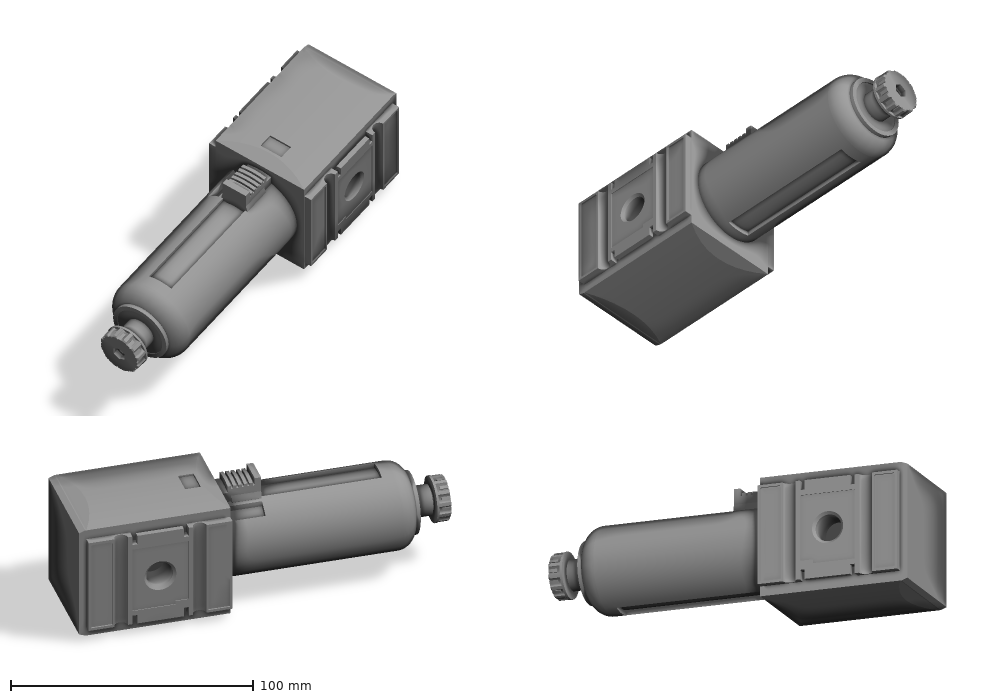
import cadquery as cq
import math


block_half_width = 45.1 / 2
block_half_height = 25.6
dome_half_height = 27.0
front_y = 16.9
back_y = 82.0
cap_y = 78.9
cap_half_width = 22.5
cap_flat_length = 0.5
cap_edge_half_height = 24.6
dome_front_y = 23.6
dome_back_y = 72.8

pad_face_x = 52.0 / 2
pad_front_y = 17.0
pad_half_height = 21.3
pad_thickness = pad_face_x - block_half_width
port_y = (pad_front_y + cap_y) / 2
clamp_groove_radius = 5.7 / 2
clamp_groove_spacing = 33.8
channel_outer_span = 24.3
channel_slot_width = 2.1
channel_depth = 4.1
tab_back_gap = 1.23
label_recess_depth = 0.3
label_half_height = 15.0
label_key_width = 5.7
label_key_height = 1.6
panel_half_height = 20.2
panel_width = 9.3
panel_edge_margin = 1.0
panel_depth = 0.7
panel_corner_radius = 0.8

port_diameter = 11.5
port_mouth_diameter = 13.8
port_depth = 13.1

badge_width = 10.7
badge_length = 6.7
badge_y = 28.0
badge_floor_z = 26.0

bowl_radius = 37.7 / 2
bowl_straight_end_y = -58.4
bowl_end_radius = 7.9
bowl_end_y = -65.8
ring_radius = 27.0 / 2
ring_face_y = -67.5
ring_recess_radius = 23.0 / 2
ring_recess_depth = 0.5
recess_floor_radius = 16.7
window_half_width = 11.3 / 2
window_start_y = 12.0
window_end_y = -53.1

guide_wall_x = -8.0
guide_start_angle = 135.5
guide_end_y = -0.8

latch_half_width = 5.9
latch_base_z = 16.4
latch_back_y = 16.5
latch_front_y = -1.1
latch_foot_radius = 23.1
latch_valley_radius = 24.8
latch_crest_radius = 26.0
latch_head_z = 27.4
latch_head_thickness = 2.8
tooth_count = 5
tooth_row_length = 9.3
tooth_pitch = tooth_row_length / (tooth_count - 1)
tooth_back_y = 13.3
tooth_crest_width = 1.5
grip_overhang = 0.8
grip_top_z = 20.7
grip_bottom_z = 17.7
grip_back_y = 11.8

stem_radius = 13.3 / 2
stem_end_y = -75.0
neck_radius = 9.7 / 2
knob_radius = 20.0 / 2
knob_back_y = -75.8
knob_front_y = -82.0
knob_rim_width = 1.0
knob_chamfer = 0.5
knob_grip_radius = 9.8
flute_count = 12
flute_radius = 4.1 / 2
flute_center_r = 10.7
flute_rib_radius = 9.2
flute_rib_width = 1.5
flute_rib_length = 3.8
hex_across_flats = 5.5
hex_depth = 2.5
drain_hole_diameter = 4.0
drain_hole_depth = 6.5


def box(x_range, y_range, z_range):
    """Axis-aligned block between the given limits."""
    corner = (x_range[0], y_range[0], z_range[0])
    size = (x_range[1] - x_range[0], y_range[1] - y_range[0], z_range[1] - z_range[0])
    return cq.Workplane("XY").box(*size, centered=False).translate(corner)


def cylinder_along_y(radius, y_low, y_high):
    """Round bar on the Y axis."""
    return cq.Workplane("XZ", origin=(0, y_high, 0)).circle(radius).extrude(y_high - y_low)


def mirrored_in_x(shape):
    """A shape together with its mirror image across the YZ plane."""
    return shape.union(shape.mirror("YZ"))



def make_block():
    """Block with arched top and bottom, sloping down at both ends."""
    arched = (
        cq.Workplane("XZ", origin=(0, back_y, 0))
        .moveTo(-block_half_width, -block_half_height)
        .threePointArc((0, -dome_half_height), (block_half_width, -block_half_height))
        .lineTo(block_half_width, block_half_height)
        .threePointArc((0, dome_half_height), (-block_half_width, block_half_height))
        .close()
        .extrude(back_y - front_y)
    )
    upper_edge = [
        (front_y, block_half_height),
        (dome_front_y, dome_half_height),
        (dome_back_y, dome_half_height),
        (cap_y, block_half_height),
        (cap_y + cap_flat_length, block_half_height),
        (back_y, cap_edge_half_height),
    ]
    lower_edge = [(y, -z) for y, z in reversed(upper_edge)]
    side_outline = (
        cq.Workplane("YZ")
        .polyline(upper_edge + lower_edge)
        .close()
        .extrude(block_half_width, both=True)
    )
    cap_outline = box(
        (-cap_half_width, cap_half_width),
        (cap_y, back_y),
        (-dome_half_height, dome_half_height),
    )
    main_outline = box(
        (-block_half_width, block_half_width),
        (front_y, cap_y),
        (-dome_half_height, dome_half_height),
    )
    return arched.intersect(side_outline).intersect(main_outline.union(cap_outline))


def cut_clamp_grooves(pad):
    """Round grooves that run the full height of the pad."""
    groove = (
        cq.Workplane("XY")
        .pushPoints([(-pad_face_x, port_y + side * clamp_groove_spacing / 2) for side in (-1, 1)])
        .circle(clamp_groove_radius)
        .extrude(pad_half_height, both=True)
    )
    return pad.cut(groove)


def cut_tab_channels(pad):
    """U-shaped channels that free a tab at the top and bottom of the pad."""
    half_span = channel_outer_span / 2
    tab_half_width = half_span - channel_slot_width
    floor_z = pad_half_height - channel_depth
    channel = box(
        (-pad_face_x, -block_half_width),
        (port_y - half_span, port_y + half_span),
        (floor_z, pad_half_height),
    )
    tab = box(
        (-pad_face_x, -block_half_width - tab_back_gap),
        (port_y - tab_half_width, port_y + tab_half_width),
        (floor_z, pad_half_height),
    )
    channel = channel.cut(tab)
    return pad.cut(channel).cut(channel.mirror("XY"))


def cut_label_recess(pad):
    """Shallow keyed rectangle around the port."""
    half_span = channel_outer_span / 2
    floor_x = -pad_face_x + label_recess_depth
    recess = box(
        (-pad_face_x, floor_x),
        (port_y - half_span, port_y + half_span),
        (-label_half_height, label_half_height),
    )
    key = box(
        (-pad_face_x, floor_x),
        (port_y - half_span, port_y - half_span + label_key_width),
        (-label_half_height, -label_half_height + label_key_height),
    )
    return pad.cut(recess.cut(key))


def cut_end_panels(pad):
    """Sunk panels at the two ends of the pad."""
    for panel_y in (pad_front_y + panel_edge_margin, cap_y - panel_edge_margin - panel_width):
        panel = box(
            (-pad_face_x, -pad_face_x + panel_depth),
            (panel_y, panel_y + panel_width),
            (-panel_half_height, panel_half_height),
        )
        pad = pad.cut(panel.edges("|X and >Z").fillet(panel_corner_radius))
    return pad


def make_pad():
    """Pad on the -X side of the block."""
    pad = box(
        (-pad_face_x, -pad_face_x + pad_thickness),
        (pad_front_y, cap_y),
        (-pad_half_height, pad_half_height),
    )
    pad = cut_clamp_grooves(pad)
    pad = cut_tab_channels(pad)
    pad = cut_label_recess(pad)
    return cut_end_panels(pad)


def make_port():
    """Blind port in the -X pad, with a chamfered mouth."""
    mouth_x = -pad_face_x + label_recess_depth
    mouth_chamfer = (port_mouth_diameter - port_diameter) / 2
    return (
        cq.Workplane("YZ", origin=(mouth_x, port_y, 0))
        .circle(port_diameter / 2)
        .extrude(port_depth)
        .union(
            cq.Workplane("YZ", origin=(mouth_x, port_y, 0))
            .circle(port_mouth_diameter / 2)
            .extrude(mouth_chamfer, taper=45)
        )
    )


def make_badge_recess():
    """Rectangular recess in the arched top."""
    return box(
        (-badge_width / 2, badge_width / 2),
        (badge_y - badge_length / 2, badge_y + badge_length / 2),
        (badge_floor_z, dome_half_height),
    )


def make_housing():
    housing = make_block().union(mirrored_in_x(make_pad()))
    return housing.cut(mirrored_in_x(make_port())).cut(make_badge_recess())



def make_bowl_shell():
    """Turned shape of the bowl, its end ring, the stem and the neck."""
    round_center_r = bowl_radius - bowl_end_radius
    end_angle = math.asin((bowl_straight_end_y - bowl_end_y) / bowl_end_radius)

    def on_round(angle):
        return (
            round_center_r + bowl_end_radius * math.cos(angle),
            bowl_straight_end_y - bowl_end_radius * math.sin(angle),
        )

    recess_floor_y = ring_face_y + ring_recess_depth
    return (
        cq.Workplane("XY")
        .moveTo(0, front_y)
        .lineTo(bowl_radius, front_y)
        .lineTo(bowl_radius, bowl_straight_end_y)
        .threePointArc(on_round(end_angle / 2), on_round(end_angle))
        .lineTo(ring_radius, bowl_end_y)
        .lineTo(ring_radius, ring_face_y)
        .lineTo(ring_recess_radius, ring_face_y)
        .lineTo(ring_recess_radius, recess_floor_y)
        .lineTo(stem_radius, recess_floor_y)
        .lineTo(stem_radius, stem_end_y)
        .lineTo(neck_radius, stem_end_y)
        .lineTo(neck_radius, knob_back_y)
        .lineTo(0, knob_back_y)
        .close()
        .revolve(360, (0, 0, 0), (0, 1, 0))
    )


def make_windows():
    """Long recesses along the top and bottom of the bowl with a round floor."""
    strip = box(
        (-window_half_width, window_half_width),
        (window_end_y, window_start_y),
        (-bowl_radius, bowl_radius),
    )
    return strip.cut(cylinder_along_y(recess_floor_radius, window_end_y, window_start_y))


def make_guide_slot():
    """Slot beside the latch: one radial wall, one upright wall and a round floor."""
    angle = math.radians(guide_start_angle)
    reach = 2 * bowl_radius
    wedge = (
        cq.Workplane("XZ", origin=(0, front_y, 0))
        .moveTo(guide_wall_x, guide_wall_x * math.tan(angle))
        .lineTo(reach * math.cos(angle), reach * math.sin(angle))
        .lineTo(guide_wall_x, reach)
        .close()
        .extrude(front_y - guide_end_y)
    )
    return wedge.cut(cylinder_along_y(recess_floor_radius, guide_end_y, front_y))


def make_latch_step(top_radius, y_low, y_high):
    """Length of the latch whose top is concentric with the bowl."""
    blank = box((-latch_half_width, latch_half_width), (y_low, y_high), (latch_base_z, top_radius))
    return blank.intersect(cylinder_along_y(top_radius, y_low, y_high))


def make_grip():
    """Flank of the latch on the -X side, flaring outwards towards the bowl."""
    return (
        cq.Workplane("XZ", origin=(0, grip_back_y, 0))
        .moveTo(-latch_half_width, grip_top_z)
        .lineTo(-latch_half_width - grip_overhang, grip_bottom_z)
        .lineTo(-latch_half_width, latch_base_z)
        .lineTo(0, latch_base_z)
        .lineTo(0, grip_top_z)
        .close()
        .extrude(grip_back_y - latch_front_y)
    )


def make_latch():
    """Latch with a toothed thumb surface and a raised head."""
    head_back_y = latch_front_y + latch_head_thickness
    latch = make_latch_step(latch_foot_radius, latch_front_y, latch_back_y)
    latch = latch.union(make_latch_step(latch_valley_radius, latch_front_y, tooth_back_y))
    for i in range(tooth_count):
        crest_y = tooth_back_y - i * tooth_pitch
        tooth = make_latch_step(latch_crest_radius, crest_y - tooth_crest_width, crest_y)
        latch = latch.union(tooth)
    head = box(
        (-latch_half_width, latch_half_width),
        (latch_front_y, head_back_y),
        (latch_base_z, latch_head_z),
    )
    return latch.union(head).union(mirrored_in_x(make_grip()))


def make_knob():
    """Fluted drain knob with a plain rim at the back and a hexagon socket."""
    rim_front_y = knob_back_y - knob_rim_width
    rim = cylinder_along_y(knob_radius, rim_front_y, knob_back_y)
    grip = cylinder_along_y(knob_grip_radius, knob_front_y, rim_front_y)
    grip = grip.faces("<Y").chamfer(knob_chamfer)
    flutes = (
        cq.Workplane("XZ", origin=(0, rim_front_y, 0))
        .polarArray(flute_center_r, 0, 360, flute_count)
        .circle(flute_radius)
        .extrude(rim_front_y - knob_front_y)
    )
    ribs = (
        cq.Workplane("XZ", origin=(0, knob_front_y + flute_rib_length, 0))
        .polarArray(flute_rib_radius / 2, 0, 360, flute_count)
        .rect(flute_rib_radius, flute_rib_width)
        .extrude(flute_rib_length)
    )
    hexagon = (
        cq.Workplane("XZ", origin=(0, knob_front_y + hex_depth, 0))
        .polygon(6, hex_across_flats, circumscribed=True)
        .extrude(hex_depth)
    )
    drain_hole = cylinder_along_y(drain_hole_diameter / 2, knob_front_y, knob_front_y + drain_hole_depth)
    return rim.union(grip.cut(flutes)).union(ribs).cut(hexagon).cut(drain_hole)


def make_bowl():
    bowl = make_bowl_shell().cut(make_windows()).cut(make_guide_slot())
    return bowl.union(make_latch()).union(make_knob())


housing = make_housing()
bowl = make_bowl()
result = cq.Compound.makeCompound([housing.val(), bowl.val()])